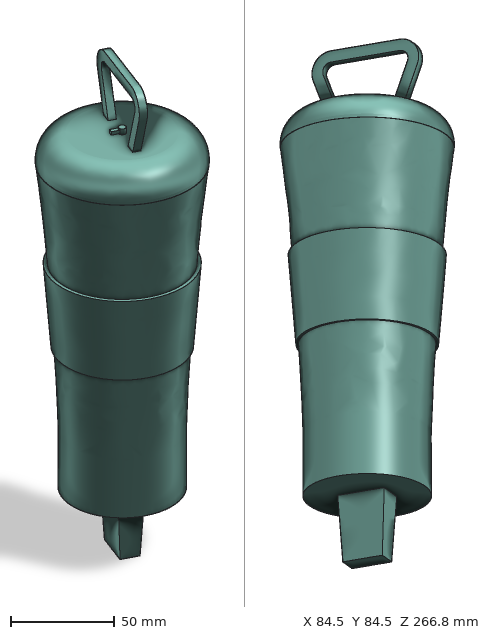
import cadquery as cq
import math

BODY_BOTTOM_Z = 34.1
SLEEVE_BOTTOM_Z = 112.9
SLEEVE_TOP_Z = 158.7
BODY_TOP_Z = 214.5
CAP_TOP_Z = 231.0
HANDLE_TOP_Z = 266.8

BODY_TOP_R = 42.2
BODY_SHOULDER_R, BODY_SHOULDER_Z = 37.5, 173.5
BODY_WAIST_R, BODY_WAIST_Z = 33.3, 112.5
BODY_FOOT_R, BODY_FOOT_Z = 31.5, 76.0
BODY_BOTTOM_R = 31.2

SLEEVE_TOP_R = 38.5
SLEEVE_BOTTOM_R = 34.7

CAP_DIAMETER = 84.5
CAP_ROUND_R = 15.0

HANDLE_WIDTH = 6.0
HANDLE_THICKNESS = 4.3
HANDLE_BEND_R = 10.5
HANDLE_BEND_X = 18.5
HANDLE_LEG_ANGLE = 21.0

POST_R = 2.0
POST_HEIGHT = 3.2
LEVER_WIDTH = 2.5
LEVER_HEIGHT = 2.0
LEVER_GAP = 0.5
LEVER_END_Y = -6.1

BLADE_TIP_X = 21.3
BLADE_TIP_Y = 10.5
BLADE_ROOT_X = 25.0
BLADE_ROOT_Y = 14.0


def make_body():
    """Turned solid whose side follows one smooth curve."""
    curve = [
        (BODY_FOOT_R, BODY_FOOT_Z),
        (BODY_WAIST_R, BODY_WAIST_Z),
        (BODY_SHOULDER_R, BODY_SHOULDER_Z),
        (BODY_TOP_R, BODY_TOP_Z),
    ]
    return (
        cq.Workplane("XZ")
        .moveTo(0, BODY_BOTTOM_Z)
        .lineTo(BODY_BOTTOM_R, BODY_BOTTOM_Z)
        .spline(curve, includeCurrent=True)
        .lineTo(0, BODY_TOP_Z)
        .close()
        .revolve(360, (0, 0, 0), (0, 1, 0))
    )


def make_sleeve(body):
    """Cone bored out to the shape of the body that passes through it."""
    cone = (
        cq.Workplane("XZ")
        .moveTo(0, SLEEVE_BOTTOM_Z)
        .lineTo(SLEEVE_BOTTOM_R, SLEEVE_BOTTOM_Z)
        .lineTo(SLEEVE_TOP_R, SLEEVE_TOP_Z)
        .lineTo(0, SLEEVE_TOP_Z)
        .close()
        .revolve(360, (0, 0, 0), (0, 1, 0))
    )
    return cone.cut(body)


def make_cap():
    """Round lid with a large rounded upper edge."""
    return (
        cq.Workplane("XY", origin=(0, 0, BODY_TOP_Z))
        .circle(CAP_DIAMETER / 2)
        .extrude(CAP_TOP_Z - BODY_TOP_Z)
        .faces(">Z")
        .edges()
        .fillet(CAP_ROUND_R)
    )


def bend_point(radius, angle):
    """Point on the right-hand bend at an angle above the X axis, in degrees."""
    turn = math.radians(angle)
    bend_z = HANDLE_TOP_Z - HANDLE_BEND_R
    return HANDLE_BEND_X + radius * math.cos(turn), bend_z + radius * math.sin(turn)


def leg_foot(radius):
    """Point where the straight side of the right leg meets the cap."""
    x, z = bend_point(radius, -HANDLE_LEG_ANGLE)
    return x - (z - CAP_TOP_Z) * math.tan(math.radians(HANDLE_LEG_ANGLE)), CAP_TOP_Z


def mirrored(point):
    """The same point on the left-hand half of the handle."""
    return -point[0], point[1]


def handle_plate(radius):
    """Plate bounded by the cap and by the handle edge of the given bend radius."""
    foot = leg_foot(radius)
    bend_start = bend_point(radius, -HANDLE_LEG_ANGLE)
    bend_middle = bend_point(radius, (90 - HANDLE_LEG_ANGLE) / 2)
    bend_end = bend_point(radius, 90)
    return (
        cq.Workplane("XZ")
        .moveTo(*foot)
        .lineTo(*bend_start)
        .threePointArc(bend_middle, bend_end)
        .lineTo(*mirrored(bend_end))
        .threePointArc(mirrored(bend_middle), mirrored(bend_start))
        .lineTo(*mirrored(foot))
        .close()
        .extrude(HANDLE_THICKNESS / 2, both=True)
    )


def make_handle():
    """Bent bar left between the outer and the inner handle plates."""
    return handle_plate(HANDLE_BEND_R).cut(handle_plate(HANDLE_BEND_R - HANDLE_WIDTH))


def make_post():
    """Round post standing on the cap."""
    return cq.Workplane("XY", origin=(0, 0, CAP_TOP_Z)).circle(POST_R).extrude(POST_HEIGHT)


def make_lever(post):
    """Bar from the post toward -Y, hollowed at its root to fit the post."""
    bar = (
        cq.Workplane("XY", origin=(0, LEVER_END_Y / 2, CAP_TOP_Z + LEVER_GAP))
        .rect(LEVER_WIDTH, -LEVER_END_Y)
        .extrude(LEVER_HEIGHT)
    )
    return bar.cut(post)


def make_blade():
    """Rectangular blade that widens upward to the flat bottom of the body."""
    return (
        cq.Workplane("XY")
        .rect(BLADE_TIP_X, BLADE_TIP_Y)
        .workplane(offset=BODY_BOTTOM_Z)
        .rect(BLADE_ROOT_X, BLADE_ROOT_Y)
        .loft(ruled=True)
    )


body = make_body()
sleeve = make_sleeve(body)
cap = make_cap()
handle = make_handle()
post = make_post()
lever = make_lever(post)
blade = make_blade()

result = cq.Compound.makeCompound(
    [body.val(), sleeve.val(), cap.val(), handle.val(), post.val(), lever.val(), blade.val()]
)